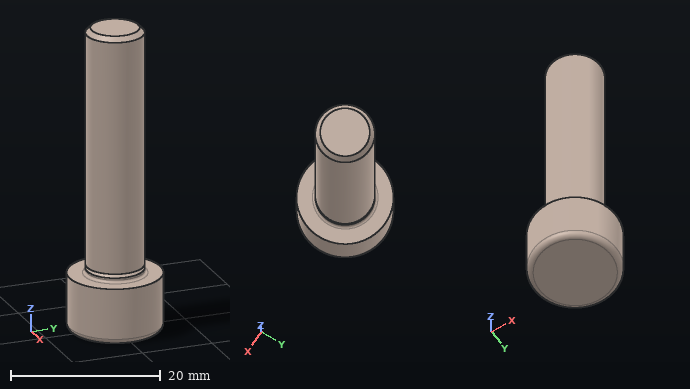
import cadquery as cq
import math

total_length = 43.0
head_radius = 6.5
head_height = 8.0
head_edge_radius = 0.85
shank_radius = 4.0
tip_chamfer = 0.7
root_fillet = 0.4
collar_height = 0.25
neck_radius = 3.45
neck_taper = shank_radius - neck_radius

collar_bottom = head_height + root_fillet
collar_top = collar_bottom + collar_height
shank_bottom = collar_top + neck_taper

diagonal = math.sqrt(0.5)
head_edge_mid = (
    head_radius - head_edge_radius * (1 - diagonal),
    head_edge_radius * (1 - diagonal),
)
root_mid = (
    shank_radius + root_fillet * (1 - diagonal),
    collar_bottom - root_fillet * diagonal,
)

profile = (
    cq.Workplane("XZ")
    .moveTo(0, 0)
    .lineTo(head_radius - head_edge_radius, 0)
    .threePointArc(head_edge_mid, (head_radius, head_edge_radius))
    .lineTo(head_radius, head_height)
    .lineTo(shank_radius + root_fillet, head_height)
    .threePointArc(root_mid, (shank_radius, collar_bottom))
    .lineTo(shank_radius, collar_top)
    .lineTo(neck_radius, shank_bottom)
    .lineTo(shank_radius, shank_bottom)
    .lineTo(shank_radius, total_length - tip_chamfer)
    .lineTo(shank_radius - tip_chamfer, total_length)
    .lineTo(0, total_length)
    .close()
)

result = profile.revolve(360, (0, 0, 0), (0, 1, 0))